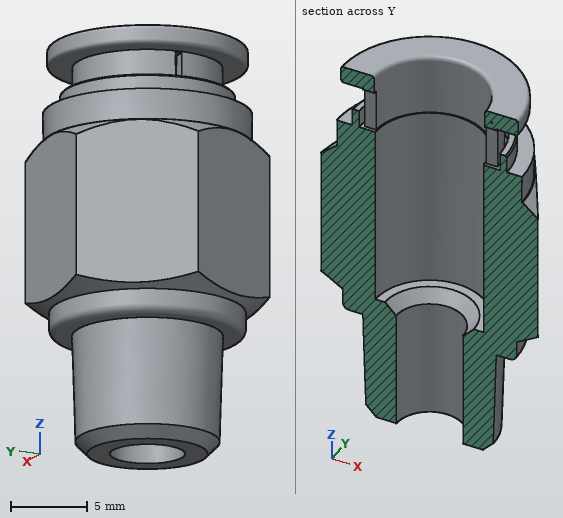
import cadquery as cq
import math

overall_height = 27.5
flange_bottom_z = 26.2
ring_top_z = 24.35
collar_top_z = 23.05
hex_top_z = 20.98
hex_bottom_z = 9.55
seat_bottom_z = 7.98
tip_chamfer = 0.8

flange_radius = 6.63
neck_radius = 4.95
ring_radius = 5.78
ring_inner_radius = 5.22
collar_top_radius = 6.9
collar_bottom_radius = 6.88
seat_radius = 6.5
thread_tip_radius = 4.75
thread_taper = 1 / 16

hex_across_corners = 16.17
hex_corner_radius = hex_across_corners / 2
hex_top_chamfer_radius = 6.93
hex_top_chamfer_height = 0.95
hex_bottom_chamfer_angle = 30.0

flange_fillet = 0.28
mouth_fillet = 0.3
ring_chamfer = 0.1
seat_fillet = 0.52

collet_bore_radius = 4.1
tube_bore_radius = 4.02
through_radius = 2.48
countersink_radius = 3.3
tube_stop_z = hex_bottom_z

slot_width = 0.45
slot_top_z = 26.12


def cylinder(radius, bottom_z, top_z):
    """Upright cylinder on the Z axis."""
    return cq.Workplane("XY").workplane(offset=bottom_z).circle(radius).extrude(top_z - bottom_z)


def revolved(profile):
    """Solid of revolution about Z from (radius, z) points."""
    return cq.Workplane("XZ").polyline(profile).close().revolve(360, (0, 0, 0), (0, 1, 0))


def make_thread_shank():
    """Tapered thread blank with a 45 degree lead-in at the tip."""
    thread_top_radius = thread_tip_radius + (seat_bottom_z - tip_chamfer) * thread_taper / 2
    return revolved([
        (0, 0),
        (thread_tip_radius - tip_chamfer, 0),
        (thread_tip_radius, tip_chamfer),
        (thread_top_radius, seat_bottom_z),
        (0, seat_bottom_z),
    ])


def make_seat():
    """Round shoulder below the hexagon, rounded on its lower edge."""
    return cylinder(seat_radius, seat_bottom_z, hex_bottom_z).faces("<Z").edges().fillet(seat_fillet)


def make_hexagon():
    """Wrench hexagon with its corners turned down to cones at both ends."""
    prism = (
        cq.Workplane("XY")
        .workplane(offset=hex_bottom_z)
        .polygon(6, hex_across_corners)
        .extrude(hex_top_z - hex_bottom_z)
    )
    chamfer_width = hex_corner_radius - seat_radius
    bottom_chamfer_height = chamfer_width * math.tan(math.radians(hex_bottom_chamfer_angle))
    turned_envelope = revolved([
        (0, hex_bottom_z),
        (seat_radius, hex_bottom_z),
        (hex_corner_radius, hex_bottom_z + bottom_chamfer_height),
        (hex_corner_radius, hex_top_z - hex_top_chamfer_height),
        (hex_top_chamfer_radius, hex_top_z),
        (0, hex_top_z),
    ])
    return prism.intersect(turned_envelope)


def make_collar():
    """Collar above the hexagon, slightly wider at its top."""
    return revolved([
        (0, hex_top_z),
        (collar_bottom_radius, hex_top_z),
        (collar_top_radius, collar_top_z),
        (0, collar_top_z),
    ])


def make_guide_ring():
    """Ring around the collet with a clearance gap inside, chamfered on its outer top edge."""
    ring = cylinder(ring_radius, collar_top_z, ring_top_z).faces(">Z").edges().chamfer(ring_chamfer)
    return ring.cut(cylinder(ring_inner_radius, collar_top_z, ring_top_z))


def make_release_collet():
    """Release button: a neck under a flange with rounded rims."""
    neck = cylinder(neck_radius, collar_top_z, flange_bottom_z)
    flange = cylinder(flange_radius, flange_bottom_z, overall_height).edges().fillet(flange_fillet)
    return neck.union(flange)


def make_bore():
    """Stepped bore: collet, tube socket, and a countersunk passage down to the tip."""
    countersink_bottom_z = tube_stop_z - (countersink_radius - through_radius)
    return revolved([
        (0, 0),
        (through_radius, 0),
        (through_radius, countersink_bottom_z),
        (countersink_radius, tube_stop_z),
        (tube_bore_radius, tube_stop_z),
        (tube_bore_radius, collar_top_z),
        (collet_bore_radius, collar_top_z),
        (collet_bore_radius, overall_height),
        (0, overall_height),
    ])


def make_collet_slot():
    """Slot along X that splits both sides of the collet wall."""
    slot_height = slot_top_z - collar_top_z
    slab = (
        cq.Workplane("XY")
        .workplane(offset=collar_top_z)
        .rect(2 * neck_radius, slot_width)
        .extrude(slot_height)
    )
    return slab.intersect(cylinder(neck_radius, collar_top_z, slot_top_z))


fitting = make_thread_shank()
for section in (make_seat(), make_hexagon(), make_collar(), make_guide_ring(), make_release_collet()):
    fitting = fitting.union(section)

fitting = fitting.cut(make_bore())
mouth_edge = cq.selectors.RadiusNthSelector(0)
fitting = fitting.faces(">Z").edges(mouth_edge).fillet(mouth_fillet)

result = fitting.cut(make_collet_slot())